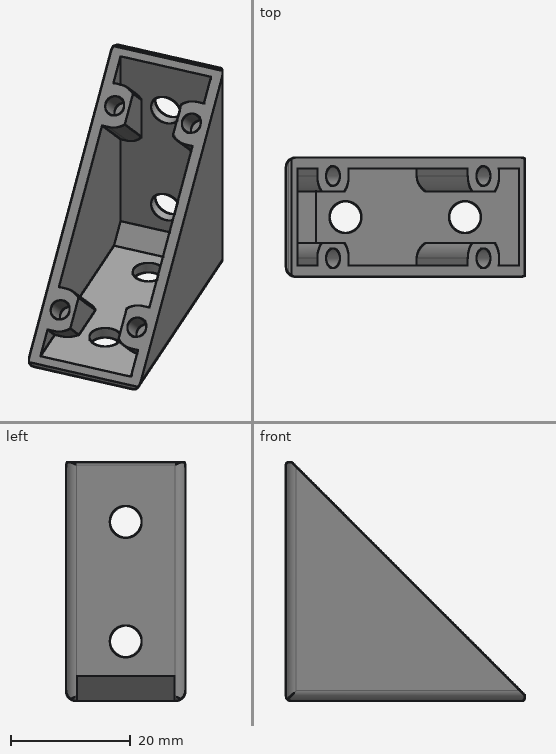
import cadquery as cq
import math

leg_length = 40.0
width = 20.0
wall = 2.0
tip_thickness = 1.0
slope_sum = leg_length + tip_thickness

side_radius = 1.75
tip_radius = 0.5
heel_radius = 0.95

cavity_width = 16.25
heel_bevel = 4.2
inner_bevel = heel_bevel + wall * math.sqrt(2) - wall

mount_diameter = 5.3
mount_positions = (leg_length / 4, 3 * leg_length / 4)

screw_diameter = 3.3
screw_depth = 6.0
screw_offset_y = 6.9
screw_offset_slope = 17.8
boss_radius = 3.7
boss_flat = 2.55


def prism(points, depth):
    """Extrude an X-Z outline symmetrically about the centre plane."""
    return cq.Workplane("XZ").polyline(points).close().extrude(depth / 2, both=True)


def make_body():
    """Side rounds mitred at the heel, trimmed by an outline with rounded corners."""
    outline = prism(
        [
            (0, 0),
            (leg_length, 0),
            (leg_length, tip_thickness),
            (tip_thickness, leg_length),
            (0, leg_length),
        ],
        width,
    )
    side_rounded = outline.edges("(<X or <Z) and (not |Y)").fillet(side_radius)
    rounded_corners = (
        ((0, 0), heel_radius),
        ((leg_length, 0), tip_radius),
        ((0, leg_length), tip_radius),
    )
    for (x, z), radius in rounded_corners:
        corner = cq.selectors.NearestToPointSelector((x, 0, z))
        outline = outline.edges("|Y").edges(corner).fillet(radius)
    return side_rounded.intersect(outline)


def make_cavity():
    """Space between the cheeks, inside the legs and the bevelled heel wall."""
    return prism(
        [
            (wall, inner_bevel),
            (inner_bevel, wall),
            (slope_sum - wall, wall),
            (wall, slope_sum - wall),
        ],
        cavity_width,
    )


def make_heel_notch():
    return prism([(0, 0), (heel_bevel, 0), (0, heel_bevel)], cavity_width)


slope_plane = cq.Plane(
    origin=(slope_sum / 2, 0, slope_sum / 2),
    xDir=(-1, 0, 1),
    normal=(1, 0, 1),
)
screw_points = [
    (along, side * screw_offset_y)
    for along in (-screw_offset_slope, screw_offset_slope)
    for side in (-1, 1)
]


def make_bosses():
    """Round bosses flattened towards the centre and widened to meet the cheeks."""
    full_depth = -slope_sum
    bosses = cq.Workplane(slope_plane).pushPoints(screw_points).circle(boss_radius).extrude(full_depth)
    web_width = width / 2 - screw_offset_y
    web_points = [
        (along, math.copysign(screw_offset_y + web_width / 2, across))
        for along, across in screw_points
    ]
    webs = (
        cq.Workplane(slope_plane)
        .pushPoints(web_points)
        .rect(2 * boss_radius, web_width)
        .extrude(full_depth)
    )
    gap_width = 2 * (screw_offset_y - boss_flat)
    gap_size = 4 * leg_length
    centre_gap = cq.Workplane("XY").box(gap_size, gap_width, gap_size)
    return bosses.union(webs).cut(centre_gap)


def make_mount_holes():
    floor_points = [(x, 0) for x in mount_positions]
    wall_points = [(0, z) for z in mount_positions]
    radius = mount_diameter / 2
    floor_holes = cq.Workplane("XY").pushPoints(floor_points).circle(radius).extrude(wall)
    wall_holes = cq.Workplane("YZ").pushPoints(wall_points).circle(radius).extrude(wall)
    return floor_holes.union(wall_holes)


def make_screw_holes():
    holes = cq.Workplane(slope_plane).pushPoints(screw_points).circle(screw_diameter / 2)
    return holes.extrude(-screw_depth)


result = (
    make_body()
    .cut(make_cavity().cut(make_bosses()))
    .cut(make_heel_notch())
    .cut(make_mount_holes())
    .cut(make_screw_holes())
)